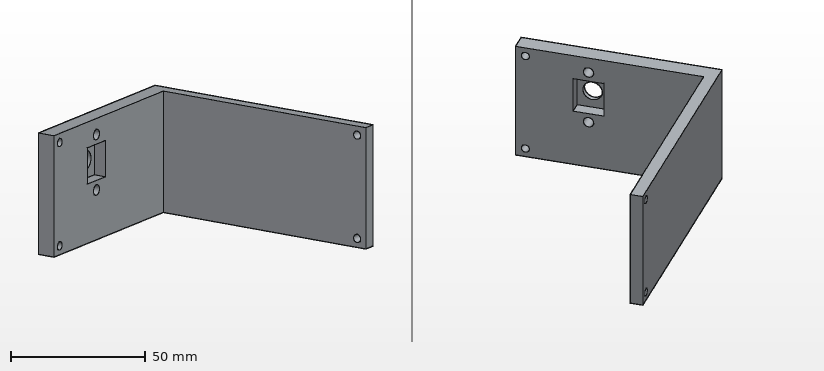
import cadquery as cq

length_x = 97.5
length_y = 78.5
height = 47.0

side_thickness = 7.0
back_thickness = 5.0

mount_diameter = 3.1
mount_end_inset = 3.9
mount_spacing = 40.0

center_diameter = 7.5
flank_diameter = 4.0
flank_offset = 10.7
cluster_end_inset = 28.6
cluster_height = 30.0

pocket_width = 12.0
pocket_height = 14.0
pocket_floor = 2.0

mount_heights = [(height - mount_spacing) / 2, (height + mount_spacing) / 2]
flank_heights = [cluster_height - flank_offset, cluster_height + flank_offset]


def side_hole(diameter, y, z):
    """Cylinder along X that passes through the side plate."""
    drill = cq.Workplane("YZ").center(y, z).circle(diameter / 2)
    return drill.extrude(side_thickness)


def back_hole(diameter, x, z):
    """Cylinder along Y that passes through the back plate."""
    drill = cq.Workplane("XZ", origin=(0, length_y, 0)).center(x, z).circle(diameter / 2)
    return drill.extrude(back_thickness)


side_plate = cq.Workplane("XY").box(side_thickness, length_y, height, centered=False)
back_plate = (
    cq.Workplane("XY", origin=(0, length_y - back_thickness, 0))
    .box(length_x, back_thickness, height, centered=False)
)
result = side_plate.union(back_plate)

for z in mount_heights:
    result = result.cut(side_hole(mount_diameter, mount_end_inset, z))
    result = result.cut(back_hole(mount_diameter, length_x - mount_end_inset, z))

result = result.cut(side_hole(center_diameter, cluster_end_inset, cluster_height))
for z in flank_heights:
    result = result.cut(side_hole(flank_diameter, cluster_end_inset, z))

pocket = (
    cq.Workplane("YZ", origin=(pocket_floor, cluster_end_inset, cluster_height))
    .rect(pocket_width, pocket_height)
    .extrude(side_thickness - pocket_floor)
)
result = result.cut(pocket)